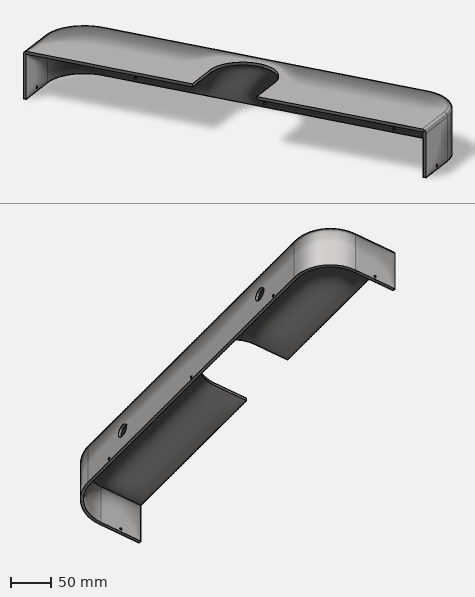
import cadquery as cq

length = 560.0
depth = 115.0
height = 65.0
wall = 4.0
corner_radius = 55.0
top_edge_radius = 5.0

notch_width = 89.5
notch_to_back = 20.0

large_hole_diameter = 18.0
large_hole_spacing = 300.0
large_hole_height = 30.0
small_hole_diameter = 3.0
small_hole_pitch = 180.0
small_hole_height = 5.0
side_hole_to_front = 30.0


def rounded_block(width, block_depth, block_height, back_radius):
    """Block centred in X with its front at Y = 0 and rounded back corners."""
    block = cq.Workplane("XY").box(width, block_depth, block_height, centered=(True, False, False))
    return block.edges("|Z and >Y").fillet(back_radius)


def make_shell():
    """Top plate with a wall around the back and both ends."""
    outer = rounded_block(length, depth, height, corner_radius)
    outer = outer.faces(">Z").edges("not <Y").fillet(top_edge_radius)
    cavity = rounded_block(length - 2 * wall, depth - wall, height - wall, corner_radius - wall)
    return outer.cut(cavity)


def make_notch():
    """Slot cutter running from the front edge to a semicircular end."""
    radius = notch_width / 2
    arc_centre_y = depth - notch_to_back - radius
    return (
        cq.Workplane("XY")
        .moveTo(-radius, 0)
        .lineTo(-radius, arc_centre_y)
        .threePointArc((0, arc_centre_y + radius), (radius, arc_centre_y))
        .lineTo(radius, 0)
        .close()
        .extrude(height)
    )


def back_wall_holes(diameter, positions, hole_height):
    """Cutters along Y through the back wall at the given X positions."""
    points = [(x, hole_height) for x in positions]
    return (
        cq.Workplane("XZ", origin=(0, depth, 0))
        .pushPoints(points)
        .circle(diameter / 2)
        .extrude(2 * wall)
    )


def end_wall_holes():
    """Cutter along X through both end walls."""
    return (
        cq.Workplane("YZ")
        .center(side_hole_to_front, small_hole_height)
        .circle(small_hole_diameter / 2)
        .extrude(length / 2, both=True)
    )


large_hole_positions = [-large_hole_spacing / 2, large_hole_spacing / 2]
small_hole_positions = [-small_hole_pitch, 0, small_hole_pitch]

result = (
    make_shell()
    .cut(make_notch())
    .cut(back_wall_holes(large_hole_diameter, large_hole_positions, large_hole_height))
    .cut(back_wall_holes(small_hole_diameter, small_hole_positions, small_hole_height))
    .cut(end_wall_holes())
)